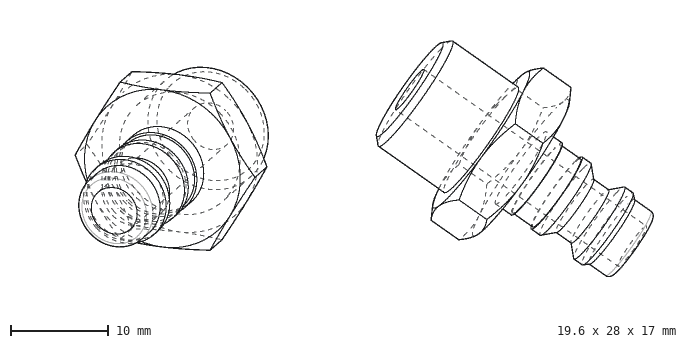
import cadquery as cq
import math

total_length = 28.0
tip_y = -total_length / 2
shank_end_y = total_length / 2

bore_diameter = 5.0
tip_radius = 4.03
tip_length = 2.58
tip_rounding = 0.5
collar_radius = 4.5
collar_chamfer_length = 0.53
collar_length = 1.05
neck_radius = 3.33
neck_length = 1.9
cone_length = collar_radius - neck_radius
rear_collar_length = 1.12
groove_radius = 4.25
groove_length = 2.5

hex_across_flats = 17.0
hex_start_y = 0.0
hex_length = 5.0
hex_chamfer_angle = 30.0

shank_radius = 6.58
shank_chamfer = 0.73


def revolve_about_y(points):
    return cq.Workplane("XY").polyline(points).close().revolve(360, (0, 0, 0), (0, 1, 0))


def make_plug():
    tip_end = tip_y + tip_length
    collar_start = tip_end + collar_chamfer_length
    collar_end = collar_start + collar_length
    neck_start = collar_end + cone_length
    neck_end = neck_start + neck_length
    rear_collar_start = neck_end + cone_length
    groove_start = rear_collar_start + rear_collar_length
    groove_end = groove_start + groove_length
    plug = revolve_about_y([
        (0, tip_y),
        (tip_radius, tip_y),
        (tip_radius, tip_end),
        (collar_radius, collar_start),
        (collar_radius, collar_end),
        (neck_radius, neck_start),
        (neck_radius, neck_end),
        (collar_radius, rear_collar_start),
        (collar_radius, groove_start),
        (groove_radius, groove_start),
        (groove_radius, groove_end),
        (collar_radius, groove_end),
        (collar_radius, hex_start_y),
        (0, hex_start_y),
    ])
    return plug.faces("<Y").edges().fillet(tip_rounding)


def make_hexagon():
    corner_radius = hex_across_flats / 2 / math.cos(math.radians(30))
    prism = (
        cq.Workplane("XZ", origin=(0, hex_start_y, 0))
        .polygon(6, 2 * corner_radius)
        .extrude(-hex_length)
    )
    face_radius = hex_across_flats / 2
    chamfer_depth = (corner_radius - face_radius) * math.tan(math.radians(hex_chamfer_angle))
    hex_end_y = hex_start_y + hex_length
    turned_blank = revolve_about_y([
        (0, hex_start_y),
        (face_radius, hex_start_y),
        (corner_radius, hex_start_y + chamfer_depth),
        (corner_radius, hex_end_y - chamfer_depth),
        (face_radius, hex_end_y),
        (0, hex_end_y),
    ])
    return prism.intersect(turned_blank)


def make_shank():
    start_y = hex_start_y + hex_length
    shank = (
        cq.Workplane("XZ", origin=(0, start_y, 0))
        .circle(shank_radius)
        .extrude(start_y - shank_end_y)
    )
    return shank.faces(">Y").chamfer(shank_chamfer)


bore = (
    cq.Workplane("XZ", origin=(0, tip_y, 0))
    .circle(bore_diameter / 2)
    .extrude(-total_length)
)

result = make_plug().union(make_hexagon()).union(make_shank()).cut(bore)